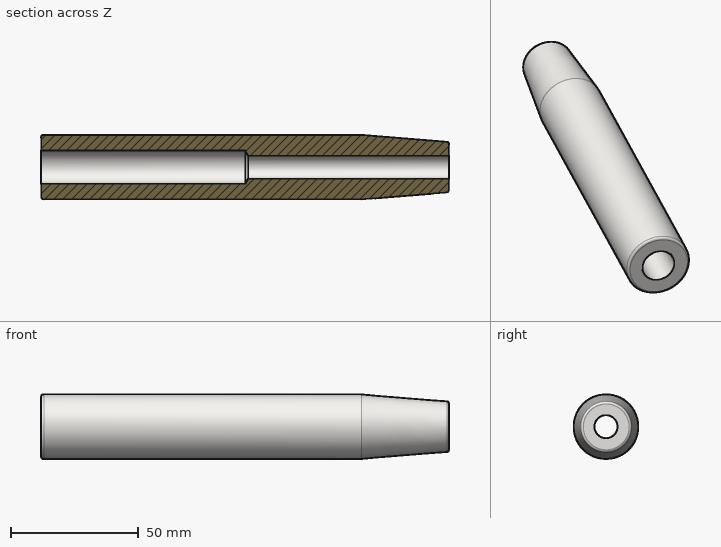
import cadquery as cq
import math

LENGTH = 160.0
BODY_DIAMETER = 25.5
TAPER_LENGTH = 34.4
TIP_DIAMETER = 19.8
EDGE_RADIUS = 1.0

BORE_DIAMETER = 13.0
BORE_DEPTH = 80.0
DRILL_POINT_ANGLE = 118.0
THROUGH_DIAMETER = 9.0


def make_body():
    """Cylinder with a tapered +X end and rounded outer end edges."""
    taper_start = LENGTH - TAPER_LENGTH
    profile = (
        cq.Workplane("XY")
        .lineTo(0, BODY_DIAMETER / 2)
        .lineTo(taper_start, BODY_DIAMETER / 2)
        .lineTo(LENGTH, TIP_DIAMETER / 2)
        .lineTo(LENGTH, 0)
        .close()
    )
    body = profile.revolve(360, (0, 0, 0), (1, 0, 0))
    return body.faces("<X or >X").edges().fillet(EDGE_RADIUS)


def make_bore():
    """Stepped bore, open at both ends and widest at the -X end."""
    bore_radius = BORE_DIAMETER / 2
    through_radius = THROUGH_DIAMETER / 2
    half_angle = math.radians(DRILL_POINT_ANGLE / 2)
    cone_length = (bore_radius - through_radius) / math.tan(half_angle)
    profile = (
        cq.Workplane("XY")
        .lineTo(0, bore_radius)
        .lineTo(BORE_DEPTH, bore_radius)
        .lineTo(BORE_DEPTH + cone_length, through_radius)
        .lineTo(LENGTH, through_radius)
        .lineTo(LENGTH, 0)
        .close()
    )
    return profile.revolve(360, (0, 0, 0), (1, 0, 0))


result = make_body().cut(make_bore())